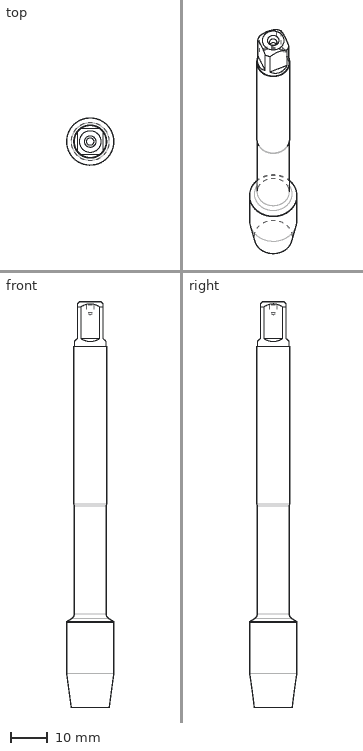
import cadquery as cq
import math

total_length = 110.0

head_diameter = 12.85
tip_diameter = 10.35
lead_length = 9.2
head_length = 23.0

collar_length = 0.3
flare_slope = math.radians(30)
neck_fillet = 1.5

neck_diameter = 8.7
shank_diameter = 9.0
shank_start = 55.2
neck_taper_length = 0.6

square_width = 7.0
square_corner_diameter = 8.64
square_length = 10.0
drive_length = 12.1
drive_top_diameter = 5.85
runout_slope = math.radians(45)

centre_diameter = 2.0
centre_mouth_diameter = 3.1
centre_countersink_angle = math.radians(60)
centre_depth = 3.0
drill_point_angle = math.radians(120)

head_radius = head_diameter / 2
neck_radius = neck_diameter / 2
shank_radius = shank_diameter / 2
square_corner_radius = square_corner_diameter / 2


def make_cutting_head():
    """Solid head: a tapered lead below a plain cylinder."""
    return (
        cq.Workplane("XZ")
        .lineTo(tip_diameter / 2, 0)
        .lineTo(head_radius, lead_length)
        .lineTo(head_radius, head_length)
        .lineTo(0, head_length)
        .close()
        .revolve(360, (0, 0, 0), (0, 1, 0))
    )


def make_turned_shank():
    """Collar, filleted flare, neck, shank and round drive blank as one revolve."""
    collar_top = head_length + collar_length
    fillet_turn = math.pi / 2 - flare_slope
    fillet_centre_radius = neck_radius + neck_fillet
    fillet_end_radius = fillet_centre_radius - neck_fillet * math.cos(fillet_turn)
    fillet_end_z = collar_top + (head_radius - fillet_end_radius) * math.tan(flare_slope)
    fillet_start_z = fillet_end_z + neck_fillet * math.sin(fillet_turn)
    half_turn = fillet_turn / 2
    fillet_middle = (
        fillet_centre_radius - neck_fillet * math.cos(half_turn),
        fillet_start_z - neck_fillet * math.sin(half_turn),
    )
    drive_start = total_length - drive_length
    drive_top_radius = drive_top_diameter / 2
    top_chamfer = square_corner_radius - drive_top_radius

    return (
        cq.Workplane("XZ")
        .moveTo(0, head_length)
        .lineTo(head_radius, head_length)
        .lineTo(head_radius, collar_top)
        .lineTo(fillet_end_radius, fillet_end_z)
        .threePointArc(fillet_middle, (neck_radius, fillet_start_z))
        .lineTo(neck_radius, shank_start - neck_taper_length)
        .lineTo(shank_radius, shank_start)
        .lineTo(shank_radius, drive_start)
        .lineTo(square_corner_radius, drive_start)
        .lineTo(square_corner_radius, total_length - top_chamfer)
        .lineTo(drive_top_radius, total_length)
        .lineTo(0, total_length)
        .close()
        .revolve(360, (0, 0, 0), (0, 1, 0))
    )


def make_flat_cutter():
    """Cutter for the flat facing +X, with a run-out sloping down and outward."""
    flat_x = square_width / 2
    outer_x = shank_diameter
    flat_bottom = total_length - square_length
    runout_drop = (outer_x - flat_x) * math.tan(runout_slope)
    return (
        cq.Workplane("XZ")
        .moveTo(flat_x, flat_bottom)
        .lineTo(outer_x, flat_bottom - runout_drop)
        .lineTo(outer_x, total_length)
        .lineTo(flat_x, total_length)
        .close()
        .extrude(shank_diameter / 2, both=True)
    )


def make_centre_hole():
    """Countersunk drilled hole with a conical bottom."""
    hole_radius = centre_diameter / 2
    mouth_radius = centre_mouth_diameter / 2
    countersink_depth = (mouth_radius - hole_radius) / math.tan(centre_countersink_angle / 2)
    point_depth = hole_radius / math.tan(drill_point_angle / 2)
    hole_bottom = total_length - centre_depth
    return (
        cq.Workplane("XZ")
        .moveTo(0, total_length)
        .lineTo(mouth_radius, total_length)
        .lineTo(hole_radius, total_length - countersink_depth)
        .lineTo(hole_radius, hole_bottom)
        .lineTo(0, hole_bottom - point_depth)
        .close()
        .revolve(360, (0, 0, 0), (0, 1, 0))
    )


def make_shank():
    """Turned shank with the square drive milled and the centre hole drilled."""
    shank = make_turned_shank()
    flat_cutter = make_flat_cutter()
    for angle in (0, 90, 180, 270):
        shank = shank.cut(flat_cutter.rotate((0, 0, 0), (0, 0, 1), angle))
    return shank.cut(make_centre_hole()).solids()


cutting_head = make_cutting_head()
shank = make_shank()

result = cq.Compound.makeCompound([cutting_head.val(), shank.val()])